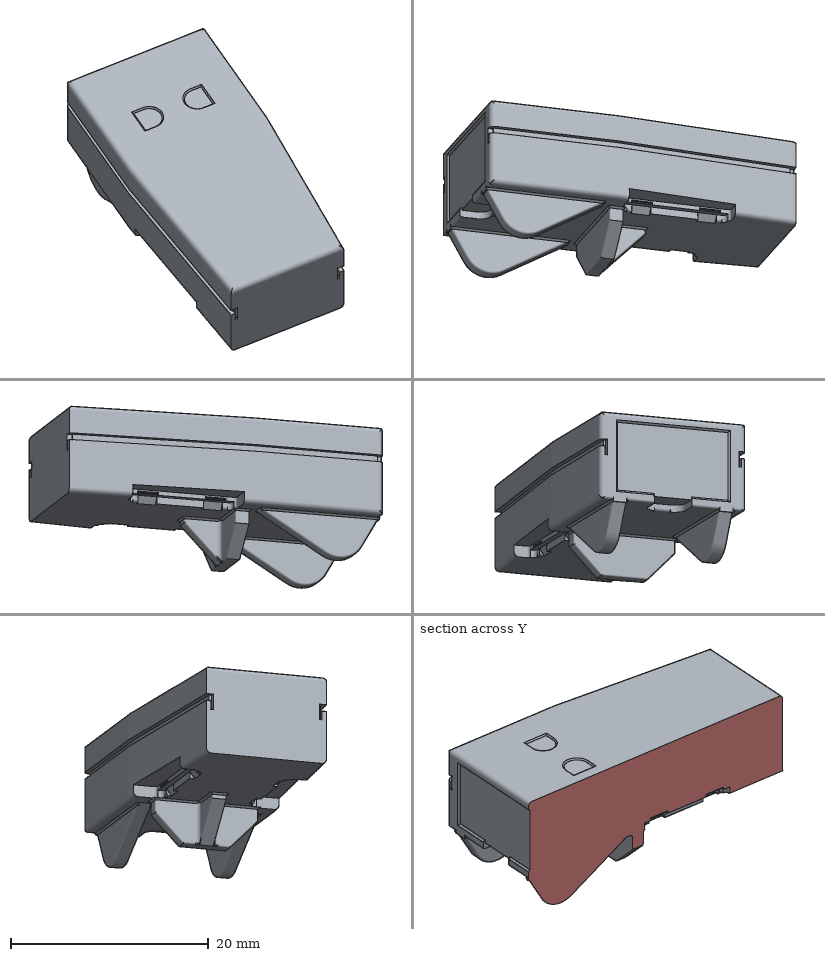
import cadquery as cq
import math

LENGTH = 33.0
HALF_WIDTH = 7.9
END_HALF_WIDTH = 6.45
STRAIGHT_LENGTH = 13.7
HEIGHT = 9.1
BODY_ROUND = 0.5
FACE_BOTTOM_ROUND = 0.25

GROOVE_DEPTH = 0.5
GROOVE_TOP = HEIGHT - 2.9
GROOVE_BOTTOM = HEIGHT - 3.6

RELIEF_WIDTH = 0.25
RELIEF_LENGTH = 0.5
RELIEF_BOTTOM = HEIGHT - 4.5

PANEL_HALF_WIDTH = 6.2
PANEL_TOP = HEIGHT - 0.8
PANEL_BOTTOM = HEIGHT - 8.25
PANEL_DEPTH = 0.2
PANEL_TAPER = 45.0

NOTCH_HALF_WIDTH = 2.05
NOTCH_HEIGHT = 0.74
NOTCH_LENGTH = 3.0
NOTCH_CORNER = 1.2

LOWER_EDGE_ROUND = 0.28

D_CENTER_X = 8.3
D_RADIUS = 1.45
D_FLAT_Y = 4.0
D_TIP_Y = 1.3
D_DEPTH = 0.15
D_TAPER = 45.0

RECESS_START = 14.8
RECESS_END = 26.4
RECESS_HEIGHT = 1.2
RECESS_INNER_Y = 5.3
RECESS_CORNER = 0.3
STEP_HEIGHT = 0.75
STEP_DEPTH = 0.6
STEP_CORNER = 0.45
RAMP_OFFSET = 3.5
RAMP_WIDTH = 2.0
RAMP_RUN = 0.5
SLIT_OFFSET = 3.6
SLIT_WIDTH = 2.2
SLIT_HEIGHT = 0.15
SLIT_DEPTH = 0.2
SLIT_CENTER_Z = 0.95

DROP = 4.5
EDGE_ROUND = 0.15
BASE_FLARE = 0.2
FLARE_TAPER = 45.0

LEG_INNER_Y = 5.05
LEG_THICKNESS = 1.45
LEG_EDGE_ROUND = 0.2
LEG_BOTTOM_X = 4.23
LEG_RADIUS = 2.8
LEG_REAR_ANGLE = 60.0
LEG_FRONT_ANGLE = 30.0

WALL_START = 13.5
WALL_THICKNESS = 1.45
WALL_HALF_WIDTH = 5.5
WALL_TIP_HALF_WIDTH = 2.5

RIB_LENGTH = 3.9
RIB_END_DROP = 0.6
RIB_THICKNESS = 1.5
RIB_CORNER = 0.45

OVERCUT = 1.0


def box(x0, x1, y0, y1, z0, z1):
    return cq.Workplane("XY").box(x1 - x0, y1 - y0, z1 - z0, centered=False).translate((x0, y0, z0))


def both_sides(shape):
    return shape.union(shape.mirror("XZ"))


def corner_fill(workplane, corner, radius, x_side, y_side):
    """Closed sketch of the concave sliver between a corner and a tangent arc on the given sides of it."""
    x, y = corner
    arc_gap = radius * (1 - math.sqrt(0.5))
    return (
        workplane.moveTo(x, y)
        .lineTo(x + x_side * radius, y)
        .threePointArc((x + x_side * arc_gap, y + y_side * arc_gap), (x, y + y_side * radius))
        .close()
    )


def plan_prism(bottom, top, inset=0.0):
    """Prism over the body plan, with both long sides moved in by the inset."""
    side = HALF_WIDTH - inset
    end_side = END_HALF_WIDTH - inset
    return (
        cq.Workplane("XY", origin=(0, 0, bottom))
        .polyline([
            (0, -side),
            (STRAIGHT_LENGTH, -side),
            (LENGTH, -end_side),
            (LENGTH, end_side),
            (STRAIGHT_LENGTH, side),
            (0, side),
        ])
        .close()
        .extrude(top - bottom)
    )


def make_body():
    """Common volume of four copies, each with one group of edges rounded."""
    top_rounded = plan_prism(0, HEIGHT).faces(">Z").edges().fillet(BODY_ROUND)
    end_corners_rounded = plan_prism(0, HEIGHT).edges("|Z and <X").fillet(BODY_ROUND)
    long_edges_rounded = plan_prism(0, HEIGHT).faces("<Z").edges("not(<X or >X)").fillet(BODY_ROUND)
    end_edge_rounded = plan_prism(0, HEIGHT).edges("<X and <Z").fillet(FACE_BOTTOM_ROUND)
    body = top_rounded.intersect(end_corners_rounded)
    return body.intersect(long_edges_rounded).intersect(end_edge_rounded)


def make_groove():
    outside = plan_prism(GROOVE_BOTTOM, GROOVE_TOP, -OVERCUT)
    return outside.cut(plan_prism(GROOVE_BOTTOM, GROOVE_TOP, GROOVE_DEPTH))


def make_reliefs():
    strip = plan_prism(RELIEF_BOTTOM, GROOVE_TOP, GROOVE_DEPTH)
    strip = strip.cut(plan_prism(RELIEF_BOTTOM, GROOVE_TOP, GROOVE_DEPTH + RELIEF_WIDTH))
    middle = box(RELIEF_LENGTH, LENGTH - RELIEF_LENGTH, -HALF_WIDTH, HALF_WIDTH, 0, HEIGHT)
    return strip.cut(middle)


def make_panel():
    height = PANEL_TOP - PANEL_BOTTOM
    return (
        cq.Workplane("YZ")
        .center(0, (PANEL_TOP + PANEL_BOTTOM) / 2)
        .rect(2 * PANEL_HALF_WIDTH, height)
        .extrude(PANEL_DEPTH, taper=PANEL_TAPER)
    )


def make_notch():
    pocket = box(0, NOTCH_LENGTH, -NOTCH_HALF_WIDTH, NOTCH_HALF_WIDTH, 0, NOTCH_HEIGHT)
    pocket = pocket.edges("|Z and >X").fillet(NOTCH_CORNER)
    mouth_top = PANEL_BOTTOM + PANEL_DEPTH
    mouth = box(0, PANEL_DEPTH, -NOTCH_HALF_WIDTH, NOTCH_HALF_WIDTH, 0, mouth_top)
    half_flat = NOTCH_HALF_WIDTH - NOTCH_CORNER
    end_edge = corner_fill(
        cq.Workplane("XZ", origin=(0, half_flat, 0)), (NOTCH_LENGTH, 0), LOWER_EDGE_ROUND, 1, 1
    ).extrude(2 * half_flat)
    return pocket.union(mouth).union(end_edge)


def make_d_recesses():
    arc_center_y = D_TIP_Y + D_RADIUS
    left = D_CENTER_X - D_RADIUS
    right = D_CENTER_X + D_RADIUS
    recess = (
        cq.Workplane("XY", origin=(0, 0, HEIGHT))
        .moveTo(left, D_FLAT_Y)
        .lineTo(left, arc_center_y)
        .threePointArc((D_CENTER_X, D_TIP_Y), (right, arc_center_y))
        .lineTo(right, D_FLAT_Y)
        .close()
        .extrude(-D_DEPTH, taper=D_TAPER)
    )
    return both_sides(recess)


def make_side_recesses():
    middle = (RECESS_START + RECESS_END) / 2
    step_y = RECESS_INNER_Y - STEP_DEPTH
    outer = HALF_WIDTH + OVERCUT
    recess = box(RECESS_START, RECESS_END, RECESS_INNER_Y, outer, 0, RECESS_HEIGHT)
    recess = recess.edges("|Z and <Y").fillet(RECESS_CORNER)
    step_start = RECESS_START + RECESS_CORNER
    step_end = RECESS_END - RECESS_CORNER
    step = box(step_start, step_end, step_y, outer, 0, STEP_HEIGHT)
    recess = recess.union(step.edges("|Z and <Y").fillet(STEP_CORNER))
    corner_distance = (step_end - step_start) / 2 - STEP_CORNER
    ramp_distance = RAMP_OFFSET + RAMP_WIDTH / 2
    for direction in (-1, 1):
        ramp_plane = cq.Workplane("YZ", origin=(middle + direction * ramp_distance, 0, 0))
        ramp = (
            ramp_plane.polyline([(step_y, 0), (step_y, STEP_HEIGHT), (step_y - RAMP_RUN, 0)])
            .close()
            .extrude(-direction * RAMP_WIDTH)
        )
        lower_edge = corner_fill(ramp_plane, (step_y, 0), LOWER_EDGE_ROUND, -1, 1)
        lower_edge = lower_edge.extrude(direction * (corner_distance - ramp_distance))
        slit_middle = middle + direction * SLIT_OFFSET
        slit = box(
            slit_middle - SLIT_WIDTH / 2, slit_middle + SLIT_WIDTH / 2,
            RECESS_INNER_Y - SLIT_DEPTH, RECESS_INNER_Y,
            SLIT_CENTER_Z - SLIT_HEIGHT / 2, SLIT_CENTER_Z + SLIT_HEIGHT / 2,
        )
        recess = recess.union(ramp).union(lower_edge).union(slit)
    return both_sides(recess)


def leg_tangent(angle, direction):
    """Tangent point of a leg flank with the tip arc, and the flank's end at the underside."""
    slope = math.radians(angle)
    x = LEG_BOTTOM_X + direction * LEG_RADIUS * math.sin(slope)
    z = -DROP + LEG_RADIUS * (1 - math.cos(slope))
    return (x, z), (x - direction * z / math.tan(slope), 0)


def make_legs():
    rear_tangent, rear_top = leg_tangent(LEG_REAR_ANGLE, -1)
    front_tangent, front_top = leg_tangent(LEG_FRONT_ANGLE, 1)
    leg = (
        cq.Workplane("XZ", origin=(0, LEG_INNER_Y, 0))
        .moveTo(*rear_top)
        .lineTo(*rear_tangent)
        .threePointArc((LEG_BOTTOM_X, -DROP), front_tangent)
        .lineTo(*front_top)
        .close()
        .extrude(-LEG_THICKNESS)
    )
    leg = leg.faces("<Y or >Y").edges("not >Z").fillet(LEG_EDGE_ROUND)
    leg_outer_y = LEG_INNER_Y + LEG_THICKNESS
    root = box(0, FACE_BOTTOM_ROUND, LEG_INNER_Y, leg_outer_y, 0, FACE_BOTTOM_ROUND)
    return both_sides(leg.union(root))


def make_wall():
    corner_z = -DROP + WALL_HALF_WIDTH - WALL_TIP_HALF_WIDTH
    wall = (
        cq.Workplane("YZ", origin=(WALL_START, 0, 0))
        .polyline([
            (-WALL_HALF_WIDTH, 0),
            (-WALL_HALF_WIDTH, corner_z),
            (-WALL_TIP_HALF_WIDTH, -DROP),
            (WALL_TIP_HALF_WIDTH, -DROP),
            (WALL_HALF_WIDTH, corner_z),
            (WALL_HALF_WIDTH, 0),
        ])
        .close()
        .extrude(WALL_THICKNESS)
    )
    return wall.faces("<X or >X").edges("not >Z").fillet(EDGE_ROUND)


def rib_prism(thickness):
    root = WALL_START + WALL_THICKNESS
    start = root - EDGE_ROUND
    end = root + RIB_LENGTH
    return (
        cq.Workplane("XZ", origin=(0, thickness / 2, 0))
        .polyline([(start, 0), (start, -DROP), (root, -DROP), (end, -RIB_END_DROP), (end, 0)])
        .close()
        .extrude(thickness)
    )


def make_rib():
    half = RIB_THICKNESS / 2
    rib = rib_prism(RIB_THICKNESS).faces("<Y or >Y").edges("not(>Z or <X or |X)").fillet(EDGE_ROUND)
    corner = (WALL_START + WALL_THICKNESS, half)
    fill = corner_fill(cq.Workplane("XY"), corner, RIB_CORNER, 1, 1).extrude(-DROP)
    fill = fill.intersect(rib_prism(RIB_THICKNESS + 2 * RIB_CORNER))
    return rib.union(both_sides(fill))


def make_flare(x0, x1, half_width, y_center):
    """Sloped skirt around the base of a hanging part, against the underside."""
    footprint = cq.Workplane("XY").center((x0 + x1) / 2, y_center)
    length = x1 - x0 + 2 * BASE_FLARE
    return footprint.rect(length, 2 * (half_width + BASE_FLARE)).extrude(-BASE_FLARE, taper=FLARE_TAPER)


def make_flares():
    wall_end = WALL_START + WALL_THICKNESS
    leg_end = leg_tangent(LEG_FRONT_ANGLE, 1)[1][0]
    leg_end -= BASE_FLARE / math.tan(math.radians(LEG_FRONT_ANGLE))
    leg_middle_y = LEG_INNER_Y + LEG_THICKNESS / 2
    leg_flare = make_flare(0, leg_end, LEG_THICKNESS / 2, leg_middle_y)
    leg_flare = leg_flare.intersect(plan_prism(-BASE_FLARE, 0))
    wall_flare = make_flare(WALL_START, wall_end, WALL_HALF_WIDTH, 0)
    rib_flare = make_flare(wall_end, wall_end + RIB_LENGTH, RIB_THICKNESS / 2, 0)
    return both_sides(leg_flare).union(wall_flare).union(rib_flare)


body = make_body()
body = body.cut(make_groove()).cut(make_reliefs()).cut(make_panel()).cut(make_notch())
body = body.cut(make_d_recesses()).cut(make_side_recesses())
result = body.union(make_legs()).union(make_wall()).union(make_rib()).union(make_flares())